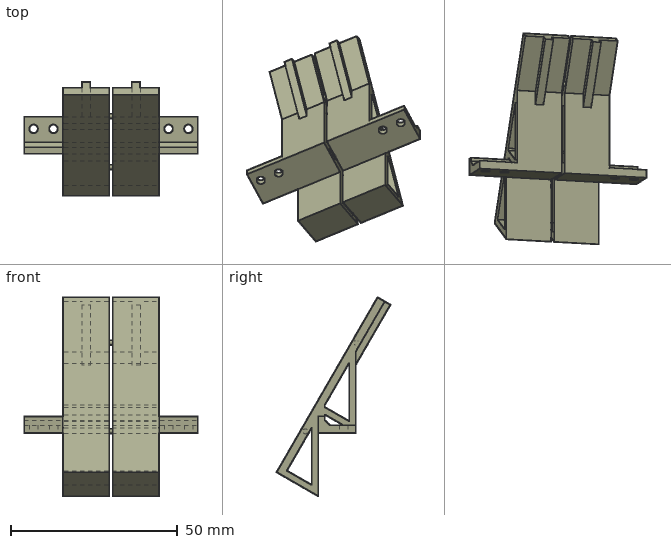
import cadquery as cq
import math

tilt = math.radians(60)
panel_length = 60.66
panel_thickness = 2.5
panel_width = 14.0
panel_gap = 0.95

rib_width = 2.5
rib_height = 2.0

overall_width = 52.2
rail_depth = 11.25
rail_thickness = 2.4
ridge_width = 2.0
ridge_height = 5.0
ridge_chamfer = 1.5

bracket_wall = 2.0
bracket_reach = 14.5
upper_tip_z = 0.15

hole_diameter = 2.5
hole_y = 7.55
hole_pitch = 5.95
hole_from_end = 2.87

pin_diameter = 1.5
pin_from_end = 15.0

sin_t = math.sin(tilt)
cos_t = math.cos(tilt)
tan_t = math.tan(tilt)

panel_y = -bracket_reach * sin_t
panel_z = -11.75
inner_x = panel_gap / 2
outer_x = inner_x + panel_width
rail_end_x = overall_width / 2


def on_panel(along, behind):
    """(Y, Z) of a point given its distance up the front face and its depth behind it."""
    return (
        panel_y + along * cos_t + behind * sin_t,
        panel_z + along * sin_t - behind * cos_t,
    )


def z_behind_front(y, behind):
    """Height at which the plane `behind` the front face reaches the given Y."""
    return panel_z + (y - panel_y) * tan_t - behind / cos_t


def extrude_x(points, x_start, x_end):
    """Prism along X from a closed (Y, Z) outline."""
    return cq.Workplane("YZ", origin=(x_start, 0, 0)).polyline(points).close().extrude(x_end - x_start)


def make_panel():
    outline = [
        on_panel(0, 0),
        on_panel(panel_length, 0),
        on_panel(panel_length, panel_thickness),
        on_panel(0, panel_thickness),
    ]
    return extrude_x(outline, inner_x, outer_x)


def triangle(wall_y, tip_z):
    """(Y, Z) outline between a vertical line, the back of the panel and an edge square to the panel."""
    top_z = z_behind_front(wall_y, panel_thickness)
    side = (top_z - tip_z) * cos_t
    tip = (wall_y, tip_z)
    corner = (wall_y - side * sin_t, tip_z + side * cos_t)
    return [tip, corner, (wall_y, top_z)]


def make_bracket(wall_y, tip_z):
    """Triangular frame with a wall of constant thickness on its two free sides."""
    inner_tip_z = tip_z + bracket_wall / sin_t + bracket_wall / tan_t
    frame = extrude_x(triangle(wall_y, tip_z), inner_x, outer_x)
    window = extrude_x(triangle(wall_y - bracket_wall, inner_tip_z), inner_x, outer_x)
    return frame.cut(window)


def make_post():
    """Solid web carrying the rail ridge up to the panel."""
    outline = [
        (0, 0),
        (ridge_width, 0),
        (ridge_width, z_behind_front(ridge_width, panel_thickness)),
        (0, z_behind_front(0, panel_thickness)),
    ]
    return extrude_x(outline, inner_x, outer_x)


def make_rib():
    wall_top_z = z_behind_front(rail_depth, panel_thickness)
    wall_low_z = z_behind_front(rail_depth, panel_thickness + rib_height)
    outline = [
        (rail_depth, wall_top_z),
        on_panel(panel_length, panel_thickness),
        on_panel(panel_length, panel_thickness + rib_height),
        (rail_depth, wall_low_z),
    ]
    middle_x = (inner_x + outer_x) / 2
    return extrude_x(outline, middle_x - rib_width / 2, middle_x + rib_width / 2)


def make_rail():
    outline = [
        (0, 0),
        (rail_depth, 0),
        (rail_depth, rail_thickness),
        (ridge_width + ridge_chamfer, rail_thickness),
        (ridge_width, rail_thickness + ridge_chamfer),
        (ridge_width, ridge_height),
        (0, ridge_height),
    ]
    rail = extrude_x(outline, inner_x, rail_end_x)
    outer_hole_x = rail_end_x - hole_from_end
    for hole_x in (outer_hole_x, outer_hole_x - hole_pitch):
        hole = cq.Workplane("XY").center(hole_x, hole_y).circle(hole_diameter / 2).extrude(rail_thickness)
        rail = rail.cut(hole)
    return rail


def make_pin(along):
    """Round pin across the gap, centred in the panel thickness."""
    pin_y, pin_z = on_panel(along, panel_thickness / 2)
    return (
        cq.Workplane("YZ", origin=(-inner_x, 0, 0))
        .center(pin_y, pin_z)
        .circle(pin_diameter / 2)
        .extrude(panel_gap)
    )


lower_tip_z = panel_z - bracket_reach * cos_t

half = (
    make_panel()
    .union(make_bracket(0, lower_tip_z))
    .union(make_bracket(rail_depth, upper_tip_z))
    .union(make_post())
    .union(make_rail())
    .union(make_rib())
)

result = half.union(half.mirror("YZ"))
for pin_along in (pin_from_end, panel_length - pin_from_end):
    result = result.union(make_pin(pin_along))